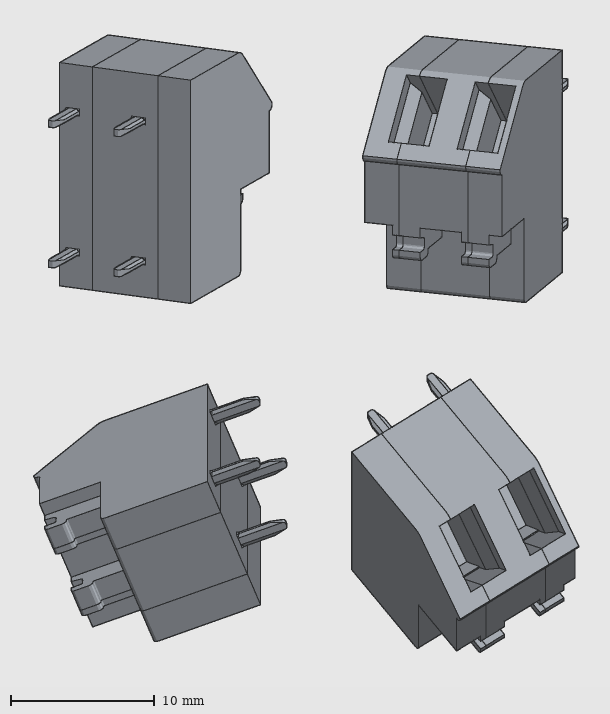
import cadquery as cq
import math

pole_pitch = 5.08
pole_count = 2
block_width = pole_count * pole_pitch
block_height = 16.2
block_depth = 13.0
wall_y = 12.57
step_y = 8.0
step_z = 6.22
foot_radius = 0.4

slope_angle = 45
shoulder_y = 7.59
shoulder_radius = 1.0
nose_bottom_z = 10.71

sin_45 = math.sin(math.radians(slope_angle))
slope_top_y = shoulder_y + shoulder_radius * sin_45
slope_top_z = block_height - shoulder_radius * (1 - sin_45)
slope_sum = slope_top_y + slope_top_z
nose_radius = block_depth - wall_y

entry_x = 2.0
entry_width = 3.0
entry_bottom_y = 12.1
entry_length = (entry_bottom_y - slope_top_y) / sin_45
entry_throat_width = 1.91
funnel_start = 1.12
funnel_end = 2.4
ledge_depth = 3.42
entry_depth = 5.45
ledge_width = 0.08
floor_lean = 2

tab_width = 2.05
tab_bottom_z = 4.27
hook_bottom_z = 3.78
hook_inner_y = 10.94
hook_radius = 0.33
hook_root_radius = 0.1
notch_inner_y = 11.72
notch_bottom_z = 4.45
notch_top_inner_z = 5.31
notch_top_outer_z = 5.51
notch_radius = 0.2

pin_x = 1.04
pin_z = 2.6
pin_rows = 2
pin_row_gap = 2 * pole_pitch
pin_length = 3.5
pin_width = 1.05
pin_thickness = 0.5
pin_flat_width = 0.55
pin_bevel_height = 0.124
pin_root_length = 0.16
pin_taper_start = 2.48
pin_tip_width = 0.46
pin_tip_radius = 0.2


def block_body():
    """Side outline of the block, run along X."""
    half_sweep = math.radians(slope_angle / 2)
    shoulder_mid = (
        shoulder_y + shoulder_radius * math.sin(half_sweep),
        block_height - shoulder_radius * (1 - math.cos(half_sweep)),
    )
    return (
        cq.Workplane("YZ")
        .moveTo(0, 0)
        .lineTo(0, block_height)
        .lineTo(shoulder_y, block_height)
        .threePointArc(shoulder_mid, (slope_top_y, slope_top_z))
        .lineTo(block_depth, slope_sum - block_depth)
        .lineTo(block_depth, nose_bottom_z + nose_radius)
        .radiusArc((wall_y, nose_bottom_z), nose_radius)
        .lineTo(wall_y, step_z)
        .lineTo(step_y, step_z)
        .lineTo(step_y, foot_radius)
        .radiusArc((step_y - foot_radius, 0), foot_radius)
        .close()
        .extrude(block_width)
    )


def wire_entry(center_x):
    """Cutter: wide mouth, funnel in from both sides, narrow throat with a ledge on its lower wall."""
    half_mouth = entry_width / 2
    half_throat = entry_throat_width / 2
    corner = (center_x, entry_bottom_y, slope_sum - entry_bottom_y)
    up_slope = (0, -sin_45, sin_45)
    across_plane = cq.Plane(origin=corner, xDir=(1, 0, 0), normal=up_slope)
    along_plane = cq.Plane(origin=corner, xDir=up_slope, normal=(-1, 0, 0))
    right_side = [
        (half_mouth, 0),
        (half_mouth, -funnel_start),
        (half_throat, -funnel_end),
        (half_throat, -entry_depth),
    ]
    left_side = [(-x, depth) for x, depth in reversed(right_side)]
    funnel = cq.Workplane(across_plane).polyline(right_side + left_side).close().extrude(entry_length)

    lean_offset = (entry_depth - ledge_depth) * math.tan(math.radians(floor_lean))
    stepped_profile = (
        cq.Workplane(along_plane)
        .polyline([
            (0, 0),
            (0, -ledge_depth),
            (ledge_width, -ledge_depth),
            (ledge_width + lean_offset, -entry_depth),
            (entry_length, -entry_depth),
            (entry_length, 0),
        ])
        .close()
        .extrude(half_mouth, both=True)
    )
    return funnel.intersect(stepped_profile)


def fillet_corner(body, y, z, radius):
    """Round the edge along X that passes through (y, z)."""
    reach = 0.02
    corner = cq.selectors.BoxSelector(
        (-block_width, y - reach, z - reach),
        (2 * block_width, y + reach, z + reach),
    )
    return body.edges("|X").edges(corner).fillet(radius)


def hooked_tab(center_x):
    """Flat tab with a notch in its outer end and a hook below the notch."""
    tab = (
        cq.Workplane("YZ", origin=(center_x - tab_width / 2, 0, 0))
        .moveTo(step_y, step_z)
        .lineTo(wall_y, step_z)
        .lineTo(wall_y, notch_top_outer_z)
        .lineTo(notch_inner_y, notch_top_inner_z)
        .lineTo(notch_inner_y, notch_bottom_z)
        .lineTo(wall_y, notch_bottom_z)
        .lineTo(wall_y, hook_bottom_z)
        .lineTo(hook_inner_y, hook_bottom_z)
        .lineTo(hook_inner_y, tab_bottom_z)
        .lineTo(step_y, tab_bottom_z)
        .close()
        .extrude(tab_width)
    )
    tab = fillet_corner(tab, wall_y, hook_bottom_z, hook_radius)
    tab = fillet_corner(tab, hook_inner_y, hook_bottom_z, hook_radius)
    tab = fillet_corner(tab, hook_inner_y, tab_bottom_z, hook_root_radius)
    tab = fillet_corner(tab, notch_inner_y, notch_bottom_z, notch_radius)
    return fillet_corner(tab, notch_inner_y, notch_top_inner_z, notch_radius)


def solder_pin(center_x, center_z):
    """Bevelled flat pin pointing to -Y, tapered to a rounded tip."""
    half_width = pin_width / 2
    half_flat = pin_flat_width / 2
    half_thick = pin_thickness / 2
    half_side = half_thick - pin_bevel_height
    center = (center_x, 0, center_z)
    section = [
        (-half_width, -half_side),
        (-half_flat, -half_thick),
        (half_flat, -half_thick),
        (half_width, -half_side),
        (half_width, half_side),
        (half_flat, half_thick),
        (-half_flat, half_thick),
        (-half_width, half_side),
    ]
    bar = cq.Workplane("XZ", origin=center).polyline(section).close().extrude(pin_length)
    root = (
        cq.Workplane("YZ", origin=center)
        .polyline([
            (0, -half_thick),
            (-pin_root_length, -half_side),
            (-pin_root_length, half_side),
            (0, half_thick),
        ])
        .close()
        .extrude(half_width, both=True)
    )
    half_tip = pin_tip_width / 2
    outline = (
        cq.Workplane("XY", origin=center)
        .polyline([
            (-half_width, 0),
            (-half_width, -pin_taper_start),
            (-half_tip, -pin_length),
            (half_tip, -pin_length),
            (half_width, -pin_taper_start),
            (half_width, 0),
        ])
        .close()
        .extrude(half_thick, both=True)
        .faces("<Y").edges("|Z").fillet(pin_tip_radius)
    )
    return bar.union(root).intersect(outline)


def terminal_block():
    """Whole block with the features of every pole."""
    block = block_body()
    for pole in range(pole_count):
        shift = pole * pole_pitch
        block = block.cut(wire_entry(entry_x + shift)).union(hooked_tab(entry_x + shift))
        for row in range(pin_rows):
            block = block.union(solder_pin(pin_x + shift, pin_z + row * pin_row_gap))
    return block


def block_slice(block, start_x, end_x):
    """The part of the block between two X planes, as one body."""
    slab_size = 4 * block_depth
    slab = (
        cq.Workplane("YZ", origin=(start_x, 0, 0))
        .rect(slab_size, slab_size)
        .extrude(end_x - start_x)
    )
    return block.intersect(slab)


end_width = pole_pitch / 2
whole_block = terminal_block()
left_slice = block_slice(whole_block, 0, end_width)
middle_slice = block_slice(whole_block, end_width, block_width - end_width)
right_slice = block_slice(whole_block, block_width - end_width, block_width)

result = cq.Compound.makeCompound([left_slice.val(), middle_slice.val(), right_slice.val()])